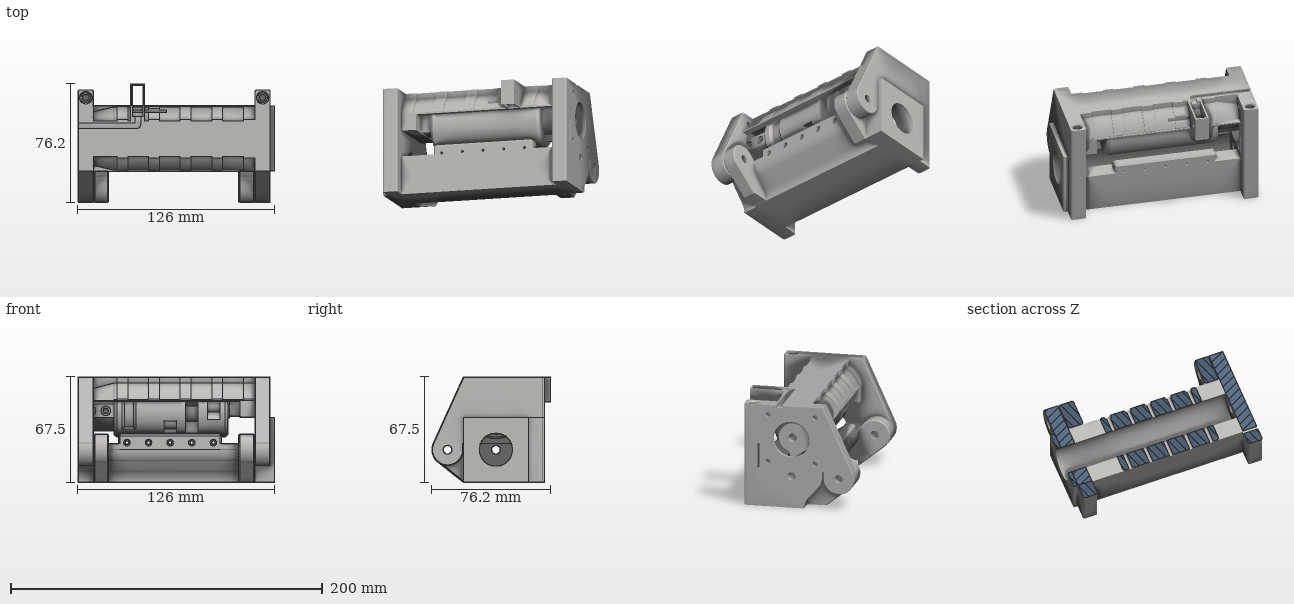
import cadquery as cq
import math

frame_length = 123.2
arm_width = 9.8
arm_chamfer = 0.4
total_length = 126.0
right_arm_x = frame_length - arm_width
height = 67.5
rear_y = 72.3
split_z = 24.8
step_z = 41.7
step_y = 62.0
corner_radius = 1.3

axis_y = 41.1
rotor_z = 45.9
pivot_y = 10.1
pivot_z = 20.9
pivot_radius = 10.1
pivot_hole_diameter = 5.4
motor_bore_radius = 10.6
clearance_radius = 35.7 / 2

arm_top_front_y = 20.2
window_period = 20.3
window_length = 13.4
first_window_x = 31.9
window_count = 4
plate_half = 12.3
window_half = 11.3
barrel_z = 45.4
barrel_radius = 22.2
barrel_half = 20.7
window_radius = 21.5
window_barrel_half = 20.2
taper_start_radius = 18.6
taper_end_x = 23.0
taper_window_end_x = 24.8
flange_z = 51.8
flange_thickness = 0.8
flange_half = 21.0
end_block_x = 104.0
boss_x = 97.1
boss_radius = 9.0
boss_bottom_z = 42.3
end_opening_diameter = 24.0
end_opening_z = 45.5
end_wall = 2.5
mount_hole_diameter = 3.4
mount_hole_offset = 15.5
post_hole_y = 67.3
post_mouth_diameter = 8.0
post_bore_diameter = 6.2
post_bore_depth = 7.5
post_screw_diameter = 4.2
channel_depth = 1.6
channel_width = 3.7
channel_y = 47.5
channel_right_x = 40.2
channel_end_y = 55.2
bracket_x = 33.8
bracket_width = 8.8
bracket_wall = 1.0
bracket_front_y = 52.4
bracket_rear_y = 76.2
bracket_bottom_z = 51.5
bracket_hole_diameter = 2.1
bracket_hole_y = 70.8
bracket_hole_z = 59.6
ledge_end_x = 56.7
ledge_y = 57.8
ledge_z = 56.5

base_front_y = 19.9
bend_top_z = 21.2
bend_radius = 10.1
foot_y = 31.8
end_plate_setback = 1.1
column_gap = 1.6
right_front_y = 20.3
rail_start_x = 26.0
rail_end_x = 92.1
rail_top_z = 30.9
rail_chamfer = 1.0
rail_trough_radius = 21.3
rail_hole_diameter = 2.1
rail_counterbore_diameter = 4.2
rail_counterbore_depth = 1.9
rail_hole_z = 25.5
rail_hole_pitch = 13.9
rail_hole_count = 5
left_knuckle_width = 9.5
right_knuckle_width = 10.2
knuckle_gap = 0.3
knuckle_chamfer = 0.8
knuckle_foot_y = 20.2
right_knuckle_back_y = 21.0
left_knuckle_back_y = 31.5

rotor_radius = 16.9
rotor_start_x = 23.0
rotor_end_x = 96.0
rotor_chamfer = 1.8
thrust_diameter = 9.0
cam_start_x = 3.0
cam_radius = 9.1
cam_front_y = 27.1
cam_flat_bottom_z = 41.5
cam_flat_top_z = 50.1
cam_top_z = 52.2
cam_low_z = 33.0
shaft_hole_diameter = 5.7
groove_start_x = 28.1
groove_end_x = 37.2
groove_depth = 1.8
groove_start_angle = -44
groove_turn = 120
notches = (
    (55.2, 63.1, -21.5, ((12.3, -27), (14.1, -36), (14.1, -55)), -58),
    (68.9, 76.9, 36, ((8.1, 22), (8.1, -18), (8.1, -58)), -58),
    (82.9, 91.0, 40, ((12.6, 35), (14.0, 13), (11.5, -4)), -19),
)
screw_x = (8.3, 17.8)
screw_head_diameter = 6.0
screw_hole_diameter = 3.4
screw_head_depth = 1.9


def box(x0, x1, y0, y1, z0, z1):
    return cq.Workplane("XY").box(x1 - x0, y1 - y0, z1 - z0, centered=False).translate((x0, y0, z0))


def rod(x0, x1, y, z, radius):
    """Cylinder along X."""
    return cq.Workplane("YZ", origin=(x0, 0, 0)).center(y, z).circle(radius).extrude(x1 - x0)


def arm_outline():
    """Side outline of an arm: sloping front edge that runs tangent into the pivot lug."""
    rise = height - pivot_z
    run = arm_top_front_y - pivot_y
    angle = math.atan2(rise, run) + math.acos(pivot_radius / math.hypot(rise, run))
    tangent = (pivot_y + pivot_radius * math.cos(angle), pivot_z + pivot_radius * math.sin(angle))
    return (
        cq.Workplane("YZ")
        .moveTo(rear_y, height)
        .lineTo(arm_top_front_y, height)
        .lineTo(*tangent)
        .threePointArc((pivot_y, pivot_z - pivot_radius), (pivot_y + pivot_radius, pivot_z))
        .lineTo(pivot_y + pivot_radius, split_z)
        .lineTo(step_y, split_z)
        .lineTo(step_y, step_z)
        .lineTo(rear_y, step_z)
        .close()
    )


def make_arm(x0):
    arm = arm_outline().extrude(arm_width).edges("|Z and >Y").fillet(corner_radius)
    lug_zone = cq.selectors.BoxSelector(
        (-1.3, -1.3, 0), (arm_width + 1.3, arm_top_front_y + 1.3, height - 1.3), boundingbox=False
    )
    arm = arm.faces("<X or >X").edges(lug_zone).chamfer(arm_chamfer)
    return arm.translate((x0, 0, 0))


def barrel_section(x0, x1, radius, half_width, plate_half_width):
    """Length of barrel shell, trimmed at the flange, with the flat top plate above it."""
    trim = box(x0, x1, axis_y - half_width, axis_y + half_width, flange_z, height)
    plate = box(x0, x1, axis_y - plate_half_width, axis_y + plate_half_width, flange_z, height)
    return rod(x0, x1, axis_y, barrel_z, radius).intersect(trim).union(plate)


def make_barrel():
    x = taper_window_end_x
    body = barrel_section(taper_end_x, x, window_radius, window_barrel_half, window_half)
    for i in range(window_count):
        window_x = first_window_x + i * window_period
        body = body.union(barrel_section(x, window_x, barrel_radius, barrel_half, plate_half))
        x = window_x + window_length
        body = body.union(barrel_section(window_x, x, window_radius, window_barrel_half, window_half))
    body = body.union(barrel_section(x, right_arm_x, barrel_radius, barrel_half, plate_half))

    taper = (
        cq.Workplane("YZ", origin=(arm_width, axis_y, barrel_z))
        .circle(taper_start_radius)
        .workplane(offset=taper_end_x - arm_width)
        .circle(window_radius)
        .loft()
    )
    taper = taper.intersect(box(arm_width, taper_end_x, 0, rear_y, flange_z, height))
    taper_plate = box(
        arm_width, taper_end_x, axis_y - window_half, axis_y + window_half, flange_z, height
    )
    flange = box(
        arm_width, right_arm_x, axis_y - flange_half, axis_y + flange_half,
        flange_z, flange_z + flange_thickness,
    )
    ledge = box(bracket_x, ledge_end_x, ledge_y, rear_y, ledge_z, height)
    return body.union(taper).union(taper_plate).union(flange).cut(ledge)


def make_bracket():
    """U-shaped bracket behind the barrel; a landing carries the wire channel into it."""
    x1 = bracket_x + bracket_width
    bracket = box(bracket_x, x1, bracket_front_y, bracket_rear_y, bracket_bottom_z, height)
    inside = box(
        bracket_x + bracket_wall, x1 - bracket_wall, bracket_front_y, bracket_rear_y - bracket_wall,
        bracket_bottom_z, height,
    )
    hole = rod(bracket_x, x1, bracket_hole_y, bracket_hole_z, bracket_hole_diameter / 2)
    landing = box(bracket_x, x1, bracket_front_y, channel_end_y, flange_z, height)
    return bracket.cut(inside).cut(hole).union(landing)


def make_channel():
    """Shallow L-shaped wire channel in the top plate."""
    floor_z = height - channel_depth
    long_leg = box(0, channel_right_x, channel_y, channel_y + channel_width, floor_z, height)
    short_leg = box(
        channel_right_x - channel_width, channel_right_x, channel_y, channel_end_y, floor_z, height
    )
    return long_leg.union(short_leg).edges("|Z and >X and <Y").fillet(channel_width * 0.7)


def make_post_hole(x):
    top = cq.Workplane("XY", origin=(x, post_hole_y, height))
    mouth_depth = (post_mouth_diameter - post_bore_diameter) / 2
    mouth = (
        top.circle(post_mouth_diameter / 2)
        .workplane(offset=-mouth_depth)
        .circle(post_bore_diameter / 2)
        .loft()
    )
    bore = top.circle(post_bore_diameter / 2).extrude(-post_bore_depth)
    screw = top.circle(post_screw_diameter / 2).extrude(step_z - height)
    return mouth.union(bore).union(screw)


def make_housing():
    body = make_barrel().union(make_arm(0)).union(make_arm(right_arm_x)).union(make_bracket())
    body = body.union(
        box(end_block_x, right_arm_x, axis_y - flange_half, axis_y + flange_half, step_z, flange_z)
    )
    body = body.cut(rod(end_wall, end_block_x, axis_y, rotor_z, clearance_radius))
    boss = rod(boss_x, end_block_x, axis_y, rotor_z, boss_radius)
    body = body.union(boss.intersect(box(boss_x, end_block_x, 0, rear_y, boss_bottom_z, height)))

    body = body.cut(rod(0, end_wall, axis_y, end_opening_z, end_opening_diameter / 2))
    for side_y in (-1, 1):
        for side_z in (-1, 1):
            y = axis_y + side_y * mount_hole_offset
            z = end_opening_z + side_z * mount_hole_offset
            body = body.cut(rod(0, arm_width, y, z, mount_hole_diameter / 2))
    for x in (arm_width / 2, frame_length - arm_width / 2):
        body = body.cut(make_post_hole(x))
    body = body.cut(make_channel())
    body = body.cut(rod(right_arm_x, frame_length, axis_y, pivot_z, motor_bore_radius))
    return body.cut(rod(0, frame_length, pivot_y, pivot_z, pivot_hole_diameter / 2))


def base_slab(x0, x1, front_y, back_y):
    """Base slab with an S-shaped front edge that sweeps back to the foot."""
    shift = front_y - base_front_y
    foot = foot_y + shift
    diagonal = math.sqrt(0.5) * bend_radius
    side = bend_radius - diagonal
    mid_drop = bend_radius * math.sin(math.radians(22.5))
    mid_side = bend_radius * (1 - math.cos(math.radians(22.5)))
    return (
        cq.Workplane("YZ", origin=(x0, 0, 0))
        .moveTo(back_y, 0)
        .lineTo(back_y, split_z)
        .lineTo(front_y, split_z)
        .lineTo(front_y, bend_top_z)
        .threePointArc((front_y + mid_side, bend_top_z - mid_drop), (front_y + side, bend_top_z - diagonal))
        .lineTo(foot - side, diagonal)
        .threePointArc((foot - mid_side, mid_drop), (foot, 0))
        .close()
        .extrude(x1 - x0)
    )


def make_knuckle(x0, width, back_y):
    """Pivot knuckle: round nose with a tangent underside and a flat back."""
    foot_distance = math.hypot(knuckle_foot_y - pivot_y, pivot_z)
    foot_angle = math.atan2(-pivot_z, knuckle_foot_y - pivot_y) - math.acos(pivot_radius / foot_distance)
    under = (
        pivot_y + pivot_radius * math.cos(foot_angle),
        pivot_z + pivot_radius * math.sin(foot_angle),
    )
    diagonal = pivot_radius * math.sqrt(0.5)
    nape = (pivot_y + diagonal, pivot_z + diagonal)
    nape_foot_y = nape[0] + nape[1] - split_z
    knuckle = (
        cq.Workplane("YZ", origin=(x0, 0, 0))
        .moveTo(back_y, split_z)
        .lineTo(back_y, 0)
        .lineTo(knuckle_foot_y, 0)
        .lineTo(*under)
        .threePointArc((pivot_y - diagonal, pivot_z + diagonal), nape)
        .lineTo(nape_foot_y, split_z)
        .close()
        .extrude(width)
    )
    return knuckle.faces("<X or >X").edges("<Y or %CIRCLE").chamfer(knuckle_chamfer)


def make_rail():
    """Raised rail over the middle of the base; it has bevelled edges and a trough under the rotor."""
    rail = box(rail_start_x, rail_end_x, base_front_y, 2 * axis_y - base_front_y, split_z - 3.8, rail_top_z)
    rail = rail.edges("|Z or >Z").chamfer(rail_chamfer)
    return rail.cut(rod(rail_start_x, rail_end_x, axis_y, rotor_z, rail_trough_radius))


def make_base():
    beam_back_y = 2 * axis_y - base_front_y
    body = base_slab(arm_width, right_arm_x, base_front_y, beam_back_y)
    left_end = base_slab(0, arm_width, base_front_y + end_plate_setback, rear_y).union(
        box(0, arm_width, step_y + column_gap, rear_y, 0, step_z)
    )
    body = body.union(left_end.edges("|Z and >Y").fillet(corner_radius))
    right_end = box(right_arm_x, frame_length, right_front_y, rear_y, 0, split_z).union(
        box(right_arm_x, frame_length, step_y, rear_y, 0, step_z)
    )
    body = body.union(right_end.edges("|Z and >Y").fillet(corner_radius))
    body = body.union(box(frame_length, total_length, right_front_y, step_y, 0, step_z))
    right_knuckle_x = right_arm_x - knuckle_gap - right_knuckle_width
    body = body.union(make_knuckle(arm_width + knuckle_gap, left_knuckle_width, left_knuckle_back_y))
    body = body.union(make_knuckle(right_knuckle_x, right_knuckle_width, right_knuckle_back_y))
    body = body.union(make_rail())

    body = body.cut(rod(arm_width, total_length, axis_y, pivot_z, motor_bore_radius))
    for y in (pivot_y, axis_y):
        body = body.cut(rod(0, frame_length, y, pivot_z, pivot_hole_diameter / 2))
    rail_center_x = (rail_start_x + rail_end_x) / 2
    for i in range(rail_hole_count):
        x = rail_center_x + (i - (rail_hole_count - 1) / 2) * rail_hole_pitch
        front = cq.Workplane("XZ", origin=(x, base_front_y, rail_hole_z))
        body = body.cut(front.circle(rail_hole_diameter / 2).extrude(-rear_y))
        body = body.cut(front.circle(rail_counterbore_diameter / 2).extrude(-rail_counterbore_depth))
    return body


def polar(radius, degrees):
    """Point around the rotor axis; angles start at the front and rise towards the top."""
    angle = math.radians(degrees)
    return (axis_y - radius * math.cos(angle), rotor_z + radius * math.sin(angle))


def make_notch(x0, x1, top_angle, floor, bottom_angle):
    """Cam notch: rounded floor through three (radius, angle) points, top to bottom."""
    floor_top, floor_middle, floor_bottom = floor
    outside = rotor_radius + 1.3
    mid_angle = (top_angle + bottom_angle) / 2
    return (
        cq.Workplane("YZ", origin=(x0, 0, 0))
        .moveTo(*polar(outside, bottom_angle))
        .lineTo(*polar(rotor_radius, bottom_angle))
        .lineTo(*polar(*floor_bottom))
        .threePointArc(polar(*floor_middle), polar(*floor_top))
        .lineTo(*polar(outside, top_angle))
        .threePointArc(polar(outside, mid_angle), polar(outside, bottom_angle))
        .close()
        .extrude(x1 - x0)
    )


def make_groove():
    """Part-turn groove with sloping side walls."""
    floor_radius = rotor_radius - groove_depth
    outside = rotor_radius + 1.3
    groove = (
        cq.Workplane("XZ")
        .moveTo(groove_start_x, rotor_radius)
        .lineTo(groove_start_x + groove_depth, floor_radius)
        .lineTo(groove_end_x - groove_depth, floor_radius)
        .lineTo(groove_end_x, rotor_radius)
        .lineTo(groove_end_x, outside)
        .lineTo(groove_start_x, outside)
        .close()
        .revolve(groove_turn, (0, 0, 0), (1, 0, 0))
    )
    tilt = 90 - groove_start_angle - groove_turn
    return groove.rotate((0, 0, 0), (1, 0, 0), tilt).translate((0, axis_y, rotor_z))


def make_cam():
    cam = rod(cam_start_x, rotor_start_x, axis_y, rotor_z, cam_radius)
    lobe = (
        cq.Workplane("YZ", origin=(cam_start_x, 0, 0))
        .polyline([
            (34.5, cam_top_z), (30.2, cam_top_z), (cam_front_y, cam_flat_top_z),
            (cam_front_y, cam_flat_bottom_z), (40.3, cam_low_z), (42.2, cam_low_z),
            (43.5, 37.2), (axis_y, rotor_z),
        ])
        .close()
        .extrude(rotor_start_x - cam_start_x)
    )
    cam = cam.union(lobe)
    for x in screw_x:
        front = cq.Workplane("XZ", origin=(x, cam_front_y, rotor_z))
        cam = cam.cut(front.circle(screw_head_diameter / 2).extrude(-screw_head_depth))
        cam = cam.cut(front.circle(screw_hole_diameter / 2).extrude(cam_front_y - axis_y))
    return cam.cut(rod(cam_start_x, rotor_start_x, axis_y, rotor_z, shaft_hole_diameter / 2))


def make_rotor():
    drum = rod(rotor_start_x, rotor_end_x, axis_y, rotor_z, rotor_radius)
    drum = drum.edges().chamfer(rotor_chamfer)
    drum = drum.cut(make_groove())
    for notch in notches:
        drum = drum.cut(make_notch(*notch))
    thrust_disc = rod(rotor_end_x, boss_x, axis_y, rotor_z, thrust_diameter / 2)
    return drum.union(thrust_disc).union(make_cam())


housing = make_housing()
base = make_base()
rotor = make_rotor()
result = cq.Compound.makeCompound([housing.val(), base.val(), rotor.val()])